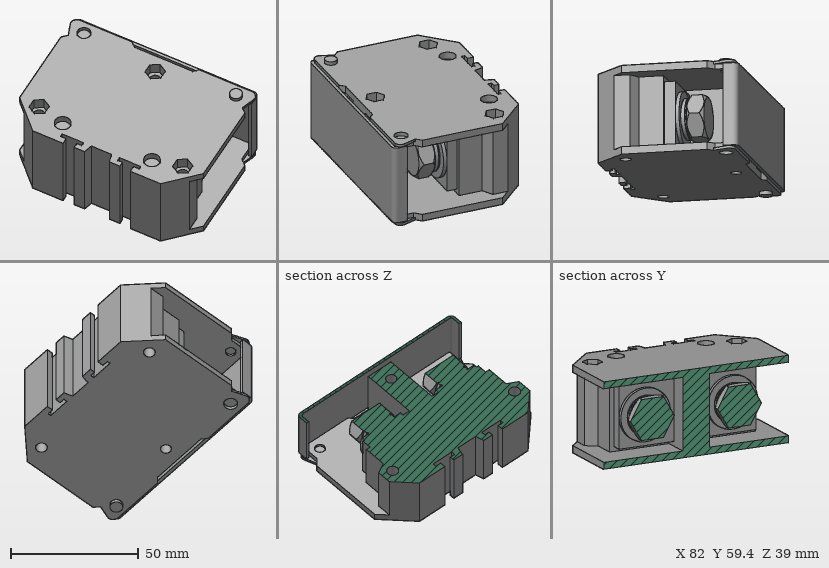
import cadquery as cq
import math


half_length = 41.0
half_width = 18.0
housing_top = 58.0
foot_chamfer = 12.5
side_plate = 3.0
pocket_half_width = half_width - side_plate

notch_start = 47.1
notch_depth = 2.1
ear_radius = 2.5

top_notch_half_length = 14.9
top_notch_depth = 1.9

slot_outer = 15.0
slot_inner = 10.2
slot_neck_outer_height = 2.7
slot_neck_inner_height = 2.5
undercut_outer = 17.5
undercut_inner = 8.0
rail_depth = 4.05
tooth_lift = 0.3
gap_half_mouth = 5.5
gap_half_floor = 4.5

partition_half = 6.0
sill_x = 36.9
bench_x = 32.3
sill_top = 14.9
bench_slope_top = 17.4
bench_top = 27.4

relief_x = 38.4
relief_half_width = 16.95

bar_half_length = 30.4
bar_half_width = 13.0
bar_thickness = 4.3
bar_slot_half_width = 13.5
bar_slot_height = 3.05

bolt_x = 19.3
washer_diameter = 22.0
washer_thickness = 1.5
spring_washer_diameter = 16.5
spring_washer_thickness = 1.55
spring_washer_tilt = 2.4
spring_washer_slit = 0.3
slit_angle = 53.0
neck_diameter = 15.6
neck_height = 2.2
head_across_flats = 17.0
head_height = 7.2
head_face_radius = 8.25

top_bolt_y = 49.1
foot_bolt_x = 32.0
foot_bolt_y = 12.0
top_bolt_hole = 4.3
foot_bolt_hole = 4.6
nut_across_flats = 6.9
nut_pocket_depth = 5.0

pin_x = 33.9
pin_y = 53.1
pin_diameter = 5.1
pin_height = 1.5
pin_core_diameter = 4.2
pin_core_depth = 1.0
pin_socket_diameter = 5.5
pin_socket_depth = 1.6
foot_socket_x = 19.9
foot_socket_y = 8.95
foot_socket_diameter = 6.65
foot_socket_depth = 3.0

cover_half_length = 40.7
cover_half_width = 16.6
cover_thickness = 1.4
cover_side_thickness = 1.3
cover_side_height = 6.0
cover_outer_radius = 2.1
cover_inner_radius = 1.0
cover_top = housing_top + cover_thickness


def block(x_low, x_high, y_low, y_high, z_low, z_high):
    size = (x_high - x_low, y_high - y_low, z_high - z_low)
    return cq.Workplane("XY").box(*size, centered=False).translate((x_low, y_low, z_low))


def cylinder(x, y, z_low, height, diameter):
    return cq.Workplane("XY", origin=(x, y, z_low)).circle(diameter / 2).extrude(height)


def lying_cylinder(x, y_low, height, diameter):
    """Cylinder with its axis along +Y, in the middle of the block's width."""
    return cq.Workplane("XZ", origin=(x, y_low, 0)).circle(diameter / 2).extrude(-height)


def mirrored_pair(shape):
    return shape.union(shape.mirror("YZ"))


def housing_blank():
    notch_x = half_length - notch_depth
    notch_y = notch_start + notch_depth
    center_x = half_length - ear_radius
    center_y = housing_top - ear_radius
    distance = math.hypot(center_x - notch_x, center_y - notch_y)
    flank_angle = math.atan2(center_y - notch_y, center_x - notch_x) - math.asin(ear_radius / distance)
    tangent_angle = flank_angle - math.pi / 2
    middle_angle = (tangent_angle + math.pi / 2) / 2

    def on_ear(angle):
        return (center_x + ear_radius * math.cos(angle), center_y + ear_radius * math.sin(angle))

    half = (
        cq.Workplane("XY", origin=(0, 0, -half_width))
        .moveTo(0, 0)
        .lineTo(half_length - foot_chamfer, 0)
        .lineTo(half_length, foot_chamfer)
        .lineTo(half_length, notch_start)
        .lineTo(notch_x, notch_y)
        .lineTo(*on_ear(tangent_angle))
        .threePointArc(on_ear(middle_angle), (center_x, housing_top))
        .lineTo(top_notch_half_length, housing_top)
        .lineTo(top_notch_half_length - top_notch_depth, housing_top - top_notch_depth)
        .lineTo(0, housing_top - top_notch_depth)
        .close()
        .extrude(2 * half_width)
    )
    return mirrored_pair(half)


def rail_foot_cut():
    half = (
        cq.Workplane("XY", origin=(0, 0, -half_width))
        .polyline([
            (0, 0),
            (slot_outer, 0),
            (slot_outer, slot_neck_outer_height),
            (undercut_outer, slot_neck_outer_height),
            (undercut_outer, rail_depth),
            (undercut_inner, rail_depth),
            (undercut_inner, slot_neck_inner_height),
            (slot_inner, slot_neck_inner_height),
            (slot_inner, tooth_lift),
            (gap_half_mouth, tooth_lift),
            (gap_half_floor, rail_depth),
            (0, rail_depth),
        ])
        .close()
        .extrude(2 * half_width)
    )
    return mirrored_pair(half)


def chamber_cut():
    """Space around the bolts, open at the ends and the top of the block."""
    chamber = (
        cq.Workplane("XY", origin=(0, 0, -pocket_half_width))
        .polyline([
            (half_length, 0),
            (sill_x, 0),
            (sill_x, sill_top),
            (bench_x, bench_slope_top),
            (bench_x, bench_top),
            (partition_half, bench_top),
            (partition_half, housing_top),
            (half_length, housing_top),
        ])
        .close()
        .extrude(2 * pocket_half_width)
    )
    return mirrored_pair(chamber)


def cover_relief_cut():
    """Thins the ears and continues the notch slope inward to the relief wall."""
    relief = (
        cq.Workplane("XY", origin=(0, 0, -relief_half_width))
        .polyline([
            (relief_x, housing_top),
            (relief_x, notch_start + half_length - relief_x),
            (half_length, notch_start),
            (half_length, housing_top),
        ])
        .close()
        .extrude(2 * relief_half_width)
    )
    return mirrored_pair(relief)


def assembly_hole(x, y, diameter):
    hole = cylinder(x, y, -half_width, 2 * half_width, diameter)
    nut_pocket = (
        cq.Workplane("XY", origin=(x, y, half_width - nut_pocket_depth))
        .polygon(6, nut_across_flats, circumscribed=True)
        .extrude(nut_pocket_depth)
    )
    return hole.union(nut_pocket)


def add_stacking_features(body):
    """A pin on one outer face stands opposite a socket on the other; each pin is cored from inside."""
    for side in (1, -1):
        pin_base = half_width if side > 0 else -half_width - pin_height
        core_base = pocket_half_width if side > 0 else -pocket_half_width - pin_core_depth
        socket_base = half_width - pin_socket_depth if side < 0 else -half_width
        body = body.union(cylinder(side * pin_x, pin_y, pin_base, pin_height, pin_diameter))
        body = body.cut(cylinder(side * pin_x, pin_y, core_base, pin_core_depth, pin_core_diameter))
        body = body.cut(cylinder(side * pin_x, pin_y, socket_base, pin_socket_depth, pin_socket_diameter))
        body = body.cut(
            cylinder(
                side * foot_socket_x,
                foot_socket_y,
                half_width - foot_socket_depth,
                foot_socket_depth,
                foot_socket_diameter,
            )
        )
    return body


def bolt_head(x, y_low):
    """Hexagon with a corner toward each end of the block and 45 degree chamfers on both faces."""
    hexagon = (
        cq.Workplane("XZ", origin=(x, y_low, 0))
        .transformed(rotate=(0, 0, 90))
        .polygon(6, head_across_flats, circumscribed=True)
        .extrude(-head_height)
    )
    corner_radius = head_across_flats / math.sqrt(3)
    corner_cut = corner_radius - head_face_radius
    envelope = lying_cylinder(x, y_low, head_height, 2 * corner_radius).edges().chamfer(corner_cut)
    return hexagon.intersect(envelope)


def spring_washer(x, y_low):
    """Slit ring, tilted so that its -X side rises to the bolt head, around the neck below the head."""
    radius = spring_washer_diameter / 2
    ring = lying_cylinder(0, -spring_washer_thickness / 2, spring_washer_thickness, spring_washer_diameter)
    slit = block(
        -radius, 0,
        -spring_washer_thickness, spring_washer_thickness,
        -spring_washer_slit / 2, spring_washer_slit / 2,
    ).rotate((0, 0, 0), (0, 1, 0), slit_angle)
    ring = ring.cut(slit).rotate((0, 0, 0), (0, 0, 1), -spring_washer_tilt)
    neck = lying_cylinder(x, y_low, neck_height, neck_diameter)
    return neck.union(ring.translate((x, y_low + neck_height / 2, 0)))


def terminal_bolt(x):
    washer_base = bench_top + bar_thickness
    spring_base = washer_base + washer_thickness
    head_base = spring_base + neck_height
    washer = lying_cylinder(x, washer_base, washer_thickness, washer_diameter)
    return washer.union(spring_washer(x, spring_base)).union(bolt_head(x, head_base))


def make_housing():
    """Moulded block together with its busbar and bolts."""
    body = housing_blank().cut(rail_foot_cut()).cut(chamber_cut()).cut(cover_relief_cut())
    body = body.cut(assembly_hole(0, top_bolt_y, top_bolt_hole))
    for side in (1, -1):
        body = body.cut(assembly_hole(side * foot_bolt_x, foot_bolt_y, foot_bolt_hole))
    body = add_stacking_features(body)

    bar_slot = block(
        -partition_half, partition_half,
        bench_top, bench_top + bar_slot_height,
        -bar_slot_half_width, bar_slot_half_width,
    )
    bar = block(
        -bar_half_length, bar_half_length,
        bench_top, bench_top + bar_thickness,
        -bar_half_width, bar_half_width,
    )
    body = body.cut(bar_slot).union(bar)
    for side in (1, -1):
        body = body.union(terminal_bolt(side * bolt_x))
    return body


def make_cover():
    """Channel that rests on the top edges of the housing, its sides reaching down into the ears."""
    cover_bottom = cover_top - cover_side_height
    inner_half_length = cover_half_length - cover_side_thickness
    outer = block(
        -cover_half_length, cover_half_length,
        cover_bottom, cover_top,
        -cover_half_width, cover_half_width,
    )
    inner = block(
        -inner_half_length, inner_half_length,
        cover_bottom, housing_top,
        -cover_half_width, cover_half_width,
    )
    outer = outer.edges("|Z and >Y").fillet(cover_outer_radius)
    inner = inner.edges("|Z and >Y").fillet(cover_inner_radius)
    return outer.cut(inner)


housing = make_housing()
cover = make_cover()
result = cq.Compound.makeCompound([housing.solids().val(), cover.solids().val()])